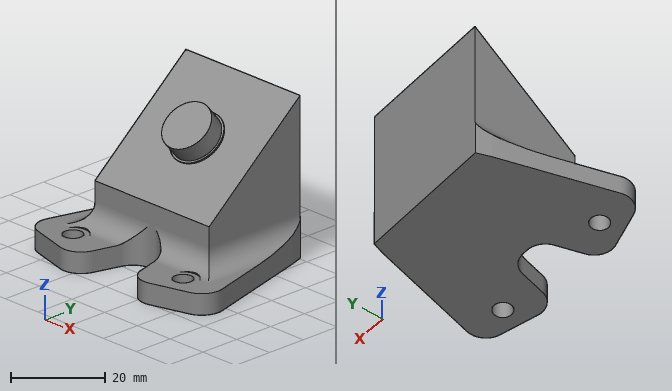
import cadquery as cq
import math

plate_width = 53.75
part_depth = 41.0
part_height = 37.5
plate_thickness = 5.0

block_width = 34.95
block_depth = 26.9
block_front_height = 15.05
flare_radius = 5.0

splay_angle = math.radians(15.5)
corner_radius = 5.0
foot_arc_spacing = 9.7
back_width = 35.15
back_taper_depth = 3.45

hole_spacing = 33.65
hole_offset = 34.0
hole_diameter = 4.7
clearance_diameter = 7.3

button_diameter = 12.0
button_height = 5.0
collar_diameter = 13.0
collar_height = 0.4


def plate_outline():
    """Prism of the plate outline, as tall as the part."""
    sin_a = math.sin(splay_angle)
    cos_a = math.cos(splay_angle)
    tan_a = math.tan(splay_angle)

    outer_x = plate_width / 2 - corner_radius
    inner_x = outer_x - foot_arc_spacing
    inner_y = -part_depth + corner_radius
    outer_y = inner_y + foot_arc_spacing * tan_a

    outer_corner = (
        outer_x + corner_radius * (cos_a + sin_a),
        outer_y + corner_radius * (sin_a - cos_a),
    )
    inner_corner = (
        inner_x + corner_radius * (sin_a - cos_a),
        inner_y - corner_radius * (cos_a + sin_a),
    )
    notch_x = inner_corner[0] - (-block_depth - inner_corner[1]) * tan_a
    taper_x = outer_corner[0] - (-back_taper_depth - outer_corner[1]) * tan_a

    right_half = [
        (back_width / 2, 0),
        (taper_x, -back_taper_depth),
        outer_corner,
        inner_corner,
        (notch_x, -block_depth),
    ]
    left_half = [(-x, y) for x, y in reversed(right_half)]
    prism = cq.Workplane("XY").polyline(right_half + left_half).close().extrude(part_height)
    rounded_edges = prism.edges("|Z").filter(lambda edge: edge.Center().y < -block_depth / 2)
    return rounded_edges.fillet(corner_radius)


def flare_mid(wall, direction):
    """Middle point of the concave flare at the foot of a wall."""
    reach = flare_radius * (1 - math.sqrt(0.5))
    return (wall + direction * reach, plate_thickness + reach)


def side_profile():
    """Wedge, front flare and plate, drawn in YZ and spanning the full width."""
    return (
        cq.Workplane("YZ")
        .moveTo(0, 0)
        .lineTo(0, part_height)
        .lineTo(-block_depth, block_front_height)
        .lineTo(-block_depth, plate_thickness + flare_radius)
        .threePointArc(flare_mid(-block_depth, -1), (-block_depth - flare_radius, plate_thickness))
        .lineTo(-part_depth, plate_thickness)
        .lineTo(-part_depth, 0)
        .close()
        .extrude(plate_width / 2, both=True)
    )


def front_profile():
    """Block, side flares and plate, drawn in XZ and spanning the full depth."""
    wall = block_width / 2
    flare_top = plate_thickness + flare_radius
    return (
        cq.Workplane("XZ")
        .moveTo(-plate_width / 2, 0)
        .lineTo(-plate_width / 2, plate_thickness)
        .lineTo(-wall - flare_radius, plate_thickness)
        .threePointArc(flare_mid(-wall, -1), (-wall, flare_top))
        .lineTo(-wall, part_height)
        .lineTo(wall, part_height)
        .lineTo(wall, flare_top)
        .threePointArc(flare_mid(wall, 1), (wall + flare_radius, plate_thickness))
        .lineTo(plate_width / 2, plate_thickness)
        .lineTo(plate_width / 2, 0)
        .close()
        .extrude(part_depth)
    )


def hole_cylinders(diameter, bottom):
    """Upright cylinders at both mounting holes, starting at the given height."""
    return (
        cq.Workplane("XY", origin=(0, -hole_offset, bottom))
        .pushPoints([(-hole_spacing / 2, 0), (hole_spacing / 2, 0)])
        .circle(diameter / 2)
        .extrude(part_height)
    )


def slope_cylinder(diameter, height):
    """Cylinder standing on the middle of the sloping face."""
    rise = part_height - block_front_height
    slope_plane = cq.Plane(
        origin=(0, -block_depth / 2, (part_height + block_front_height) / 2),
        xDir=(1, 0, 0),
        normal=(0, -rise, block_depth),
    )
    return cq.Workplane(slope_plane).circle(diameter / 2).extrude(height)


body = side_profile().intersect(front_profile()).intersect(plate_outline())
body = body.cut(hole_cylinders(hole_diameter, 0))
body = body.cut(hole_cylinders(clearance_diameter, plate_thickness))
body = body.union(slope_cylinder(collar_diameter, collar_height))
result = body.union(slope_cylinder(button_diameter, button_height))